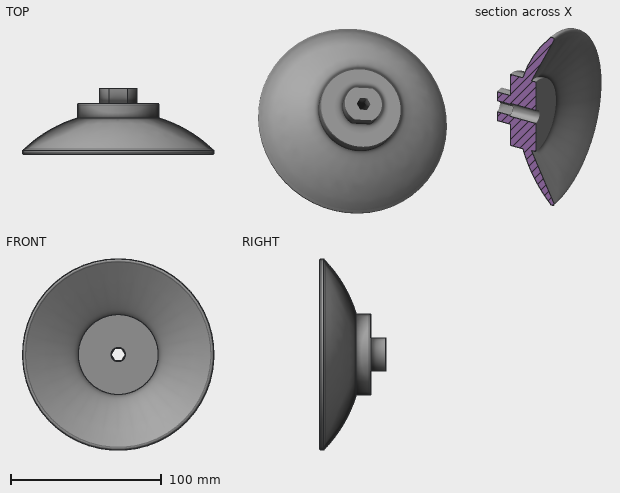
import cadquery as cq
import math


rim_radius = 63.5
rim_round = 1.4
rim_back_y = 2.7
rim_bevel_y = 3.9
rim_bevel_radius = 62.0

collar_radius = 27.0
collar_base_y = 24.3
collar_height = 9.7
collar_chamfer_length = 1.2
collar_chamfer_depth = 0.3
collar_top_y = collar_base_y + collar_height

dome_arc_radius = 88.0

pad_radius = 26.5
pad_face_y = 14.0
pad_height = 3.3
pad_base_y = pad_face_y + pad_height

boss_radius = 12.6
boss_across_flats = 22.0
boss_height = 10.0
boss_chamfer = 0.3
boss_top_y = collar_top_y + boss_height

bore_diameter = 9.5
hex_across_flats = 8.0
hex_depth = boss_height


def arc_midpoint(start, end, radius):
    """Middle of the arc from start to end that bulges to the left of that direction."""
    step_r = end[0] - start[0]
    step_y = end[1] - start[1]
    chord = math.hypot(step_r, step_y)
    sagitta = radius - math.sqrt(radius**2 - (chord / 2) ** 2)
    middle_r = (start[0] + end[0]) / 2 - sagitta * step_y / chord
    middle_y = (start[1] + end[1]) / 2 + sagitta * step_r / chord
    return middle_r, middle_y


def y_cylinder(radius, start_y, length):
    """Cylinder along +Y."""
    return cq.Workplane("XZ", origin=(0, start_y, 0)).circle(radius).extrude(-length)


def bowl_cone_direction(round_center):
    """Angle of the bowl's straight side, from the pad's foot to where it runs into the rim round."""
    step_r = round_center[0] - pad_radius
    step_y = round_center[1] - pad_base_y
    angle_to_center = math.atan2(step_y, step_r)
    return angle_to_center - math.asin(rim_round / math.hypot(step_r, step_y))


def make_bowl():
    """Bowl, pad and collar, turned in one profile of (radius, Y) points."""
    dome_start = (collar_radius, collar_base_y)
    dome_end = (rim_bevel_radius, rim_bevel_y)

    round_center = (rim_radius - rim_round, rim_round)

    def round_point(angle):
        return (
            round_center[0] + rim_round * math.cos(angle),
            round_center[1] + rim_round * math.sin(angle),
        )

    cone_end_angle = bowl_cone_direction(round_center) - math.pi / 2

    profile = (
        cq.Workplane("ZY")
        .moveTo(0, pad_face_y)
        .lineTo(pad_radius, pad_face_y)
        .lineTo(pad_radius, pad_base_y)
        .lineTo(*round_point(cone_end_angle))
        .threePointArc(round_point(cone_end_angle / 2), round_point(0))
        .lineTo(rim_radius, rim_back_y)
        .lineTo(*dome_end)
        .threePointArc(arc_midpoint(dome_start, dome_end, dome_arc_radius), dome_start)
        .lineTo(collar_radius, collar_top_y - collar_chamfer_length)
        .lineTo(collar_radius - collar_chamfer_depth, collar_top_y)
        .lineTo(0, collar_top_y)
        .close()
    )
    return profile.revolve(360, (0, 0, 0), (0, 1, 0))


def make_boss():
    """Round boss with its end edge chamfered and flats facing +Z and -Z."""
    boss = y_cylinder(boss_radius, collar_top_y, boss_height)
    boss = boss.faces(">Y").chamfer(boss_chamfer)
    flats = cq.Workplane("XY").box(2 * boss_radius, 2 * boss_top_y, boss_across_flats)
    return boss.intersect(flats)


def make_bore():
    """Round bore from the pad, narrowing to a hexagon through the boss."""
    hex_start_y = boss_top_y - hex_depth
    round_bore = y_cylinder(bore_diameter / 2, pad_face_y, hex_start_y - pad_face_y)
    hex_corner_diameter = hex_across_flats / math.cos(math.pi / 6)
    hex_bore = (
        cq.Workplane("XZ", origin=(0, hex_start_y, 0))
        .polygon(6, hex_corner_diameter)
        .extrude(-hex_depth)
    )
    return round_bore.union(hex_bore)


result = make_bowl().union(make_boss()).cut(make_bore())